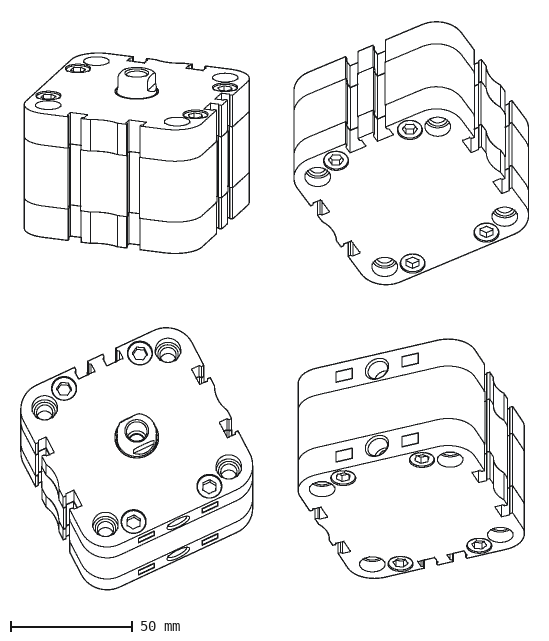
import cadquery as cq
import math

SIDE = 77.0
CORNER_RADIUS = 11.8
CAP_HEIGHT = 13.7
BARREL_HEIGHT = 26.6
BLOCK_HEIGHT = 2 * CAP_HEIGHT + BARREL_HEIGHT
TOTAL_HEIGHT = 62.0

SLOT_MOUTH = 5.5
SLOT_WIDTH = 7.1
SLOT_DEPTH = 5.1
SLOT_LIP = 1.2
SLOT_LIP_TAPER = 0.55
CAP_SLOT_CLEARANCE = 0.19
FRONT_SLOT_OFFSET = 12.85
SIDE_SLOT_OFFSET = FRONT_SLOT_OFFSET / 2

GROOVE_WIDTH = 11.85
CAP_GROOVE_DEPTH = 1.4
BARREL_GROOVE_DEPTH = 1.2
BARREL_GROOVE_EDGE_RADIUS = 1.55

MOUNT_OFFSET = 28.2
MOUNT_BORE_DIAMETER = 10.5
MOUNT_BORE_DEPTH = 5.2
MOUNT_THREAD_DIAMETER = 6.6
MOUNT_CHAMFER_DIAMETER = 8.4

SCREW_X = 32.2
SCREW_Y = 17.3
SCREW_RECESS_DIAMETER = 10.3
SCREW_HEAD_DIAMETER = 9.8
SCREW_RECESS_DEPTH = 0.55
HEX_ACROSS_FLATS = 5.3
HEX_DEPTH = 3.0

PORT_FROM_END = 7.5
PORT_DIAMETER = 8.55
PORT_CHAMFER_DIAMETER = 10.3
PORT_DEPTH = 8.0
PASSAGE_DIAMETER = 4.0
PASSAGE_OFFSET = 1.0
PASSAGE_DEPTH = 4.0

LABEL_WIDTH = 7.15
LABEL_HEIGHT = 5.15
LABEL_OFFSET = 14.55
LABEL_FROM_END = 6.8
LABEL_DEPTH = 0.2

ROD_DIAMETER = 16.0
ROD_EDGE_RADIUS = 1.6
ROD_FLATS_WIDTH = 13.0
ROD_FLATS_START = 2.8
ROD_THREAD_DIAMETER = 8.4
ROD_THREAD_CHAMFER_DIAMETER = 9.8
ROD_THREAD_DEPTH = 12.0
ROD_CORE_DIAMETER = 6.6
ROD_CORE_DEPTH = 2.0

ROD_OPENING_DIAMETER = 18.0
ROD_OPENING_FLOOR_DIAMETER = 17.7
ROD_CLEARANCE_DIAMETER = 16.55
ROD_CLEARANCE_DEPTH = 1.55


def cone_down(z, top_diameter, bottom_diameter, depth):
    """Frustum on the Z axis that starts at height z and narrows downward."""
    return cq.Workplane(cq.Solid.makeCone(
        top_diameter / 2, bottom_diameter / 2, depth, pnt=cq.Vector(0, 0, z), dir=cq.Vector(0, 0, -1)))


def cylinder_down(z, diameter, depth):
    """Cylinder on the Z axis that starts at height z and goes down by depth."""
    return cq.Workplane("XY", origin=(0, 0, z - depth)).circle(diameter / 2).extrude(depth)


def slot_cutter(height, clearance):
    """T-slot in the -Y side at X = 0, with a tapered step behind its lip."""
    face = -SIDE / 2
    mouth = SLOT_MOUTH / 2 + clearance
    inner = SLOT_WIDTH / 2 + clearance
    lip_end = face + SLOT_LIP
    taper_end = lip_end + SLOT_LIP_TAPER
    floor = face + SLOT_DEPTH + clearance
    return (
        cq.Workplane("XY")
        .polyline([
            (-mouth, face), (mouth, face), (mouth, lip_end), (inner, taper_end),
            (inner, floor), (-inner, floor), (-inner, taper_end), (-mouth, lip_end),
        ])
        .close()
        .extrude(height)
    )


def groove_cutter(height, depth):
    """Circular-arc groove in the -Y side at X = 0."""
    face = -SIDE / 2
    half = GROOVE_WIDTH / 2
    return (
        cq.Workplane("XY")
        .moveTo(-half, face)
        .threePointArc((0, face + depth), (half, face))
        .close()
        .extrude(height)
    )


def block(height, slot_clearance, groove_depth):
    """Rounded square block on Z = 0 with the slots and grooves of its sides."""
    body = cq.Workplane("XY").rect(SIDE, SIDE).extrude(height).edges("|Z").fillet(CORNER_RADIUS)
    slot = slot_cutter(height, slot_clearance)
    groove = groove_cutter(height, groove_depth)
    for angle in (0, 180):
        body = body.cut(groove.rotate((0, 0, 0), (0, 0, 1), angle))
        for x in (-FRONT_SLOT_OFFSET, FRONT_SLOT_OFFSET):
            body = body.cut(slot.translate((x, 0, 0)).rotate((0, 0, 0), (0, 0, 1), angle))
    for x in (-SIDE_SLOT_OFFSET, SIDE_SLOT_OFFSET):
        body = body.cut(slot.translate((x, 0, 0)).rotate((0, 0, 0), (0, 0, 1), 90))
    return body


def mount_hole():
    """Counterbored threaded hole on the Z axis, down through the cap."""
    seat = CAP_HEIGHT - MOUNT_BORE_DEPTH
    chamfer = (MOUNT_CHAMFER_DIAMETER - MOUNT_THREAD_DIAMETER) / 2
    return (
        cylinder_down(CAP_HEIGHT, MOUNT_BORE_DIAMETER, MOUNT_BORE_DEPTH)
        .union(cone_down(seat, MOUNT_CHAMFER_DIAMETER, MOUNT_THREAD_DIAMETER, chamfer))
        .union(cylinder_down(seat, MOUNT_THREAD_DIAMETER, seat))
    )


def screw_recess(hex_angle):
    """Sunk screw head on the Z axis with its hexagon socket."""
    head = CAP_HEIGHT - SCREW_RECESS_DEPTH
    hex_diameter = HEX_ACROSS_FLATS / math.cos(math.pi / 6)
    socket = (
        cq.Workplane("XY", origin=(0, 0, head - HEX_DEPTH))
        .polygon(6, hex_diameter)
        .extrude(HEX_DEPTH)
        .rotate((0, 0, 0), (0, 0, 1), hex_angle)
    )
    recess = cone_down(CAP_HEIGHT, SCREW_RECESS_DIAMETER, SCREW_HEAD_DIAMETER, SCREW_RECESS_DEPTH)
    return recess.union(socket)


def port():
    """Chamfered blind port in the -X side."""
    center = cq.Vector(-SIDE / 2, 0, CAP_HEIGHT - PORT_FROM_END)
    inward = cq.Vector(1, 0, 0)
    chamfer = (PORT_CHAMFER_DIAMETER - PORT_DIAMETER) / 2
    bore = cq.Solid.makeCylinder(PORT_DIAMETER / 2, PORT_DEPTH, center, inward)
    mouth = cq.Solid.makeCone(PORT_CHAMFER_DIAMETER / 2, PORT_DIAMETER / 2, chamfer, center, inward)
    return cq.Workplane(bore).union(cq.Workplane(mouth))


def label_recess(y):
    """Shallow rectangular recess in the -X side."""
    center = (-SIDE / 2 + LABEL_DEPTH / 2, y, CAP_HEIGHT - LABEL_FROM_END)
    return cq.Workplane("XY").box(LABEL_DEPTH, LABEL_WIDTH, LABEL_HEIGHT).translate(center)


def end_cap():
    """Features common to both caps; the outer end is at Z = CAP_HEIGHT."""
    cap = block(CAP_HEIGHT, CAP_SLOT_CLEARANCE, CAP_GROOVE_DEPTH).cut(port())
    for side_y in (-1, 1):
        cap = cap.cut(label_recess(side_y * LABEL_OFFSET))
        for side_x, hex_angle in ((-1, 30), (1, 0)):
            cap = cap.cut(mount_hole().translate((side_x * MOUNT_OFFSET, side_y * MOUNT_OFFSET, 0)))
            cap = cap.cut(screw_recess(hex_angle).translate((side_x * SCREW_X, side_y * SCREW_Y, 0)))
    return cap


def make_top_cap():
    """Cap with the stepped opening for the rod."""
    chamfer = (ROD_OPENING_DIAMETER - ROD_OPENING_FLOOR_DIAMETER) / 2
    return (
        end_cap()
        .cut(cone_down(CAP_HEIGHT, ROD_OPENING_DIAMETER, ROD_OPENING_FLOOR_DIAMETER, chamfer))
        .cut(cylinder_down(CAP_HEIGHT, ROD_CLEARANCE_DIAMETER, ROD_CLEARANCE_DEPTH))
        .cut(cylinder_down(CAP_HEIGHT, ROD_DIAMETER, CAP_HEIGHT))
        .translate((0, 0, BLOCK_HEIGHT - CAP_HEIGHT))
    )


def make_bottom_cap():
    """Mirrored cap with an air passage in the floor of its port."""
    start = cq.Vector(-SIDE / 2 + PORT_DEPTH, 0, PORT_FROM_END + PASSAGE_OFFSET)
    passage = cq.Solid.makeCylinder(PASSAGE_DIAMETER / 2, PASSAGE_DEPTH, start, cq.Vector(1, 0, 0))
    return end_cap().mirror("XY").translate((0, 0, CAP_HEIGHT)).cut(cq.Workplane(passage))


def make_barrel():
    """Extruded block between the caps, with rounded groove edges."""
    barrel = block(BARREL_HEIGHT, 0, BARREL_GROOVE_DEPTH)
    for side_y in (-1, 1):
        for side_x in (-1, 1):
            corner = (side_x * GROOVE_WIDTH / 2, side_y * SIDE / 2, BARREL_HEIGHT / 2)
            barrel = barrel.edges(cq.selectors.NearestToPointSelector(corner)).fillet(
                BARREL_GROOVE_EDGE_RADIUS)
    return barrel.translate((0, 0, CAP_HEIGHT))


def rod_flat_cutter():
    """Wrench flat on the -X side of the rod, with a 45 degree run-out below it."""
    flat = -ROD_FLATS_WIDTH / 2
    outside = -ROD_DIAMETER
    flat_start = BLOCK_HEIGHT + ROD_FLATS_START
    return (
        cq.Workplane("XZ")
        .polyline([
            (flat, TOTAL_HEIGHT), (flat, flat_start),
            (outside, flat_start - (flat - outside)), (outside, TOTAL_HEIGHT),
        ])
        .close()
        .extrude(ROD_DIAMETER / 2, both=True)
    )


def make_rod():
    """Rod with a rounded end, two wrench flats and a threaded hole."""
    length = TOTAL_HEIGHT - CAP_HEIGHT - BARREL_HEIGHT
    chamfer = (ROD_THREAD_CHAMFER_DIAMETER - ROD_THREAD_DIAMETER) / 2
    core_start = TOTAL_HEIGHT - ROD_THREAD_DEPTH
    thread_end = (ROD_THREAD_DIAMETER - ROD_CORE_DIAMETER) / 2
    rod = cylinder_down(TOTAL_HEIGHT, ROD_DIAMETER, length).edges(">Z").fillet(ROD_EDGE_RADIUS)
    for angle in (0, 180):
        rod = rod.cut(rod_flat_cutter().rotate((0, 0, 0), (0, 0, 1), angle))
    return (
        rod.cut(cone_down(TOTAL_HEIGHT, ROD_THREAD_CHAMFER_DIAMETER, ROD_THREAD_DIAMETER, chamfer))
        .cut(cylinder_down(TOTAL_HEIGHT, ROD_THREAD_DIAMETER, ROD_THREAD_DEPTH))
        .cut(cone_down(core_start, ROD_THREAD_DIAMETER, ROD_CORE_DIAMETER, thread_end))
        .cut(cylinder_down(core_start, ROD_CORE_DIAMETER, ROD_CORE_DEPTH))
    )


bottom_cap = make_bottom_cap()
barrel = make_barrel()
top_cap = make_top_cap()
rod = make_rod()

result = cq.Compound.makeCompound([bottom_cap.val(), barrel.val(), top_cap.val(), rod.val()])